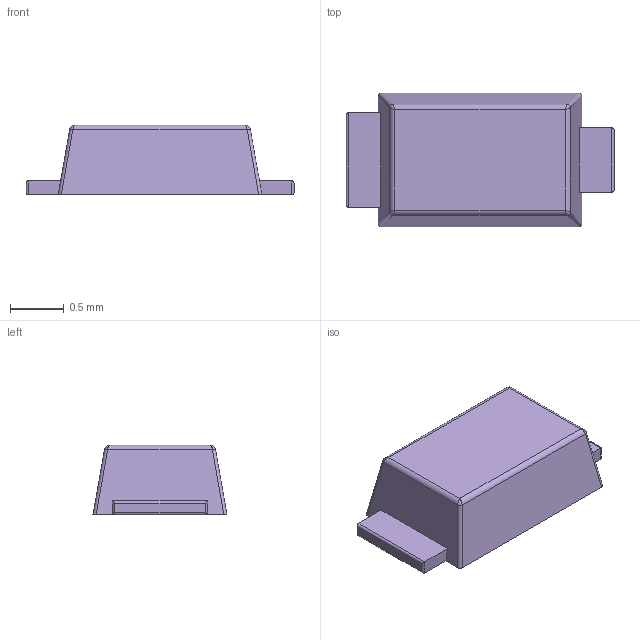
import cadquery as cq
import math

overall_length = 2.5
body_height = 0.65

body_length = 1.9
body_width = 1.25
draft_angle = 10.0
top_edge_radius = 0.05
side_edge_radius = 0.03

lead_thickness = 0.13
wide_lead_width = 0.88
narrow_lead_width = 0.6
lead_end_radius = 0.02


def make_body():
    """Block that narrows upward on all four sides, then has its edges rounded."""
    block = (
        cq.Workplane("XY")
        .rect(body_length, body_width)
        .extrude(body_height, taper=draft_angle)
    )
    top_rounded = block.faces(">Z").edges().fillet(top_edge_radius)
    below_top = cq.selectors.BoxSelector(
        (-body_length, -body_width, 0),
        (body_length, body_width, body_height - top_edge_radius),
    )
    side_edges = top_rounded.edges(below_top).edges("not(#Z)")
    return side_edges.fillet(side_edge_radius)


def make_lead(width, direction):
    """Flat lead from inside the body to one end; direction is -1 or 1 along X."""
    inset = body_height * math.tan(math.radians(draft_angle))
    root = body_length / 2 - inset
    length = overall_length / 2 - root
    lead = (
        cq.Workplane("XY")
        .box(length, width, lead_thickness, centered=(True, True, False))
        .translate((direction * (root + length / 2), 0, 0))
    )
    outer_end = ">X" if direction > 0 else "<X"
    return lead.faces(outer_end).edges().fillet(lead_end_radius)


wide_lead = make_lead(wide_lead_width, -1)
narrow_lead = make_lead(narrow_lead_width, 1)

result = make_body().union(wide_lead).union(narrow_lead)